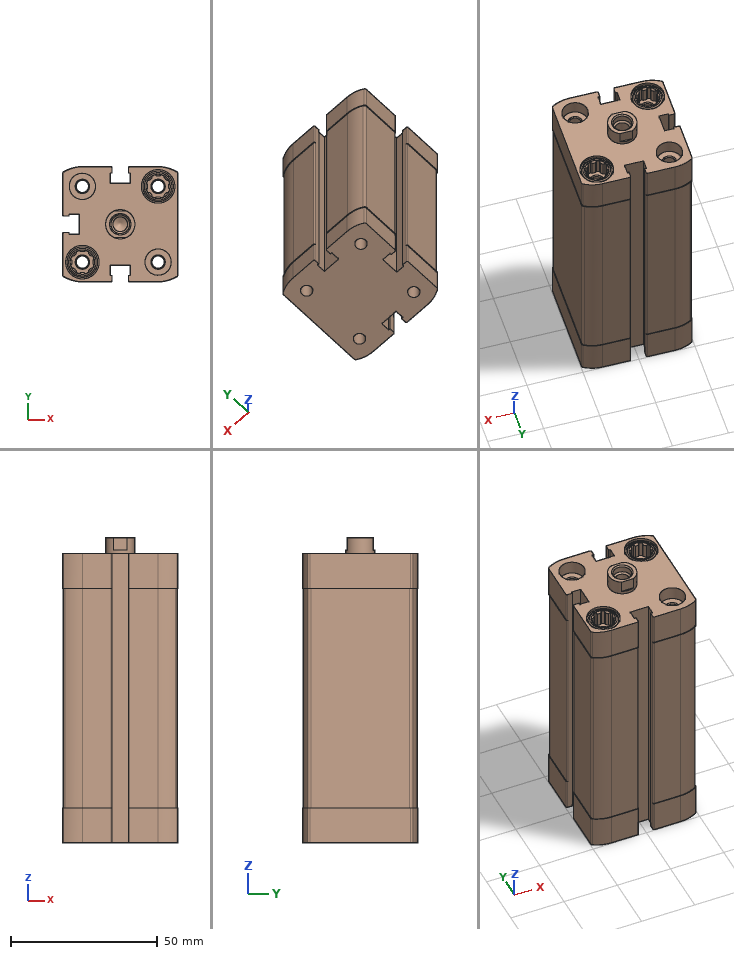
import cadquery as cq
import math

WIDTH = 39.5
TOTAL_HEIGHT = 104.5
ROD_PROTRUSION = 5.4
BODY_HEIGHT = TOTAL_HEIGHT - ROD_PROTRUSION
CAP_HEIGHT = 12.0
CAP_STEP = 0.2
TUBE_HEIGHT = BODY_HEIGHT - 2 * CAP_HEIGHT

FLANK_RADIUS = 25.0 / 2
FLANK_CENTRE_X = 13.0
CAP_EDGE_FILLET = 0.8
TUBE_EDGE_FILLET = 1.3

SLOT_MOUTH_WIDTH = 5.5
SLOT_INNER_WIDTH = 6.8
SLOT_LIP = 2.3
SLOT_DEPTH = 5.6
SLOT_MOUTH_FILLET = 0.4
SLOT_DIRECTIONS = (90, 180, 270)

HOLE_OFFSET = FLANK_CENTRE_X
THROUGH_DIAMETER = 4.2
THROUGH_ENTRY_DIAMETER = 4.9
COUNTERBORE_DIAMETER = 9.0
COUNTERBORE_DEPTH = 5.0
COUNTERBORE_CORNERS = ((-1, 1), (1, -1))
SOCKET_CORNERS = ((-1, -1), (1, 1))

HEAD_RECESS_DIAMETER = 11.5
HEAD_RECESS_DEPTH = 0.9
HEAD_DIAMETER = 10.5
HEAD_TOP_DIAMETER = 9.4
HEAD_TOP_DEPTH = 0.4
SOCKET_MOUTH_DIAMETER = 8.4
SOCKET_ROOT_DIAMETER = 8.2
SOCKET_TIP_DIAMETER = 7.1
SOCKET_TOOTH_COUNT = 8
SOCKET_TIP_WIDTH = 1.1
SOCKET_TOOTH_BASE_WIDTH = 2.4
SOCKET_DEPTH = 6.3

ROD_DIAMETER = 10.0
ROD_FLATS = 9.0
ROD_FLAT_LENGTH = 4.3
ROD_SEAT_DEPTH = CAP_HEIGHT
ROD_LENGTH = ROD_PROTRUSION + ROD_SEAT_DEPTH
ROD_MOUTH_DIAMETER = 7.3
ROD_RECESS_DIAMETER = 6.4
ROD_RECESS_DEPTH = 2.7
ROD_LEDGE_DROP = 0.5
ROD_BORE_DIAMETER = 5.0
ROD_BORE_DEPTH = 10.0
DRILL_POINT_ANGLE = 118
DRILL_TIP_DROP = ROD_BORE_DIAMETER / 2 / math.tan(math.radians(DRILL_POINT_ANGLE / 2))


def body_section(inset, edge_fillet, bottom, height):
    """Prism of the square section with rounded flanks, shrunk by inset."""
    half = WIDTH / 2 - inset
    radius = FLANK_RADIUS - inset
    flank_centre_y = WIDTH / 2 - FLANK_RADIUS

    def flank_y(x):
        return flank_centre_y + math.sqrt(radius**2 - (x - FLANK_CENTRE_X) ** 2)

    corner_y = flank_y(half)
    middle_x = (FLANK_CENTRE_X + half) / 2
    middle_y = flank_y(middle_x)
    return (
        cq.Workplane("XY", origin=(0, 0, bottom))
        .moveTo(-FLANK_CENTRE_X, half)
        .lineTo(FLANK_CENTRE_X, half)
        .threePointArc((middle_x, middle_y), (half, corner_y))
        .lineTo(half, -corner_y)
        .threePointArc((middle_x, -middle_y), (FLANK_CENTRE_X, -half))
        .lineTo(-FLANK_CENTRE_X, -half)
        .threePointArc((-middle_x, -middle_y), (-half, -corner_y))
        .lineTo(-half, corner_y)
        .threePointArc((-middle_x, middle_y), (-FLANK_CENTRE_X, half))
        .close()
        .extrude(height)
        .edges("|Z and (<X or >X)")
        .fillet(edge_fillet)
    )


def slot_cutter(inset, bottom, height, direction):
    """Undercut slot with rounded mouth edges, opening toward the given angle."""
    face = WIDTH / 2 - inset
    floor = WIDTH / 2 - SLOT_DEPTH
    lip_end = WIDTH / 2 - SLOT_LIP
    mouth = SLOT_MOUTH_WIDTH / 2
    inner = SLOT_INNER_WIDTH / 2
    flare = mouth + SLOT_MOUTH_FILLET
    arc_start = face - SLOT_MOUTH_FILLET
    arc_offset = SLOT_MOUTH_FILLET * (1 - math.sqrt(0.5))
    arc_middle = (face - arc_offset, mouth + arc_offset)
    return (
        cq.Workplane("XY", origin=(0, 0, bottom))
        .moveTo(floor, -inner)
        .lineTo(lip_end, -inner)
        .lineTo(lip_end, -mouth)
        .lineTo(arc_start, -mouth)
        .threePointArc((arc_middle[0], -arc_middle[1]), (face, -flare))
        .lineTo(face, flare)
        .threePointArc(arc_middle, (arc_start, mouth))
        .lineTo(lip_end, mouth)
        .lineTo(lip_end, inner)
        .lineTo(floor, inner)
        .close()
        .extrude(height)
        .rotate((0, 0, 0), (0, 0, 1), direction)
    )


def slotted_length(inset, edge_fillet, bottom, height):
    """One stretch of the housing, cap or tube, with its slots."""
    section = body_section(inset, edge_fillet, bottom, height)
    for direction in SLOT_DIRECTIONS:
        section = section.cut(slot_cutter(inset, bottom, height, direction))
    return section


def turned(points):
    """Solid of revolution about Z from (radius, height) points."""
    return cq.Workplane("XZ").polyline(points).close().revolve(360, (0, 0, 0), (0, 1, 0))


def through_hole(floor_z):
    """Through hole with a chamfered entry at floor_z."""
    radius = THROUGH_DIAMETER / 2
    entry = THROUGH_ENTRY_DIAMETER / 2
    chamfer_end = floor_z - (entry - radius)
    return turned([(0, 0), (radius, 0), (radius, chamfer_end), (entry, floor_z), (0, floor_z)])


def counterbored_hole():
    """Counterbore with the through hole below."""
    floor_z = BODY_HEIGHT - COUNTERBORE_DEPTH
    bore = (
        cq.Workplane("XY", origin=(0, 0, floor_z))
        .circle(COUNTERBORE_DIAMETER / 2)
        .extrude(COUNTERBORE_DEPTH)
    )
    return bore.union(through_hole(floor_z))


def socket_tooth(floor_z):
    """Tapered tooth pointing at the axis from +X, based on the socket wall."""
    tip = SOCKET_TIP_DIAMETER / 2
    root = SOCKET_ROOT_DIAMETER / 2
    return (
        cq.Workplane("XY", origin=(0, 0, floor_z))
        .moveTo(tip, -SOCKET_TIP_WIDTH / 2)
        .lineTo(root, -SOCKET_TOOTH_BASE_WIDTH / 2)
        .lineTo(root, SOCKET_TOOTH_BASE_WIDTH / 2)
        .lineTo(tip, SOCKET_TIP_WIDTH / 2)
        .close()
        .extrude(SOCKET_DEPTH)
    )


def socket_hole():
    """Space around and inside a sunk screw head, with the through hole below."""
    floor_z = BODY_HEIGHT - SOCKET_DEPTH
    head_top_z = BODY_HEIGHT - HEAD_TOP_DEPTH
    recess_z = BODY_HEIGHT - HEAD_RECESS_DEPTH
    tip = SOCKET_TIP_DIAMETER / 2
    mouth = SOCKET_MOUTH_DIAMETER / 2
    mouth_end_z = head_top_z - (mouth - tip)
    bore = (
        cq.Workplane("XY", origin=(0, 0, floor_z))
        .circle(SOCKET_ROOT_DIAMETER / 2)
        .extrude(SOCKET_DEPTH)
    )
    tooth = socket_tooth(floor_z)
    pitch_angle = 360 / SOCKET_TOOTH_COUNT
    for index in range(SOCKET_TOOTH_COUNT):
        bore = bore.cut(tooth.rotate((0, 0, 0), (0, 0, 1), index * pitch_angle))
    surround = turned([
        (0, mouth_end_z),
        (tip, mouth_end_z),
        (mouth, head_top_z),
        (HEAD_TOP_DIAMETER / 2, head_top_z),
        (HEAD_DIAMETER / 2, recess_z),
        (HEAD_RECESS_DIAMETER / 2, recess_z),
        (HEAD_RECESS_DIAMETER / 2, BODY_HEIGHT),
        (0, BODY_HEIGHT),
    ])
    return bore.union(surround).union(through_hole(floor_z))


def make_housing():
    """Tube between two end caps, with the corner holes and the seat of the rod."""
    housing = slotted_length(0, CAP_EDGE_FILLET, 0, CAP_HEIGHT)
    housing = housing.union(slotted_length(CAP_STEP, TUBE_EDGE_FILLET, CAP_HEIGHT, TUBE_HEIGHT))
    housing = housing.union(slotted_length(0, CAP_EDGE_FILLET, CAP_HEIGHT + TUBE_HEIGHT, CAP_HEIGHT))
    for corners, cutter in (
        (COUNTERBORE_CORNERS, counterbored_hole()),
        (SOCKET_CORNERS, socket_hole()),
    ):
        for x_sign, y_sign in corners:
            housing = housing.cut(cutter.translate((x_sign * HOLE_OFFSET, y_sign * HOLE_OFFSET, 0)))
    rod_seat = (
        cq.Workplane("XY", origin=(0, 0, BODY_HEIGHT - ROD_SEAT_DEPTH))
        .circle(ROD_DIAMETER / 2)
        .extrude(ROD_SEAT_DEPTH)
    )
    return housing.cut(rod_seat)


def make_rod():
    """Rod with two wrench flats and a stepped blind bore at its free end."""
    rod = (
        cq.Workplane("XY", origin=(0, 0, TOTAL_HEIGHT - ROD_LENGTH))
        .circle(ROD_DIAMETER / 2)
        .extrude(ROD_LENGTH)
    )
    blank_width = 2 * ROD_DIAMETER
    flats = (
        cq.Workplane("XY", origin=(0, 0, TOTAL_HEIGHT - ROD_FLAT_LENGTH))
        .rect(blank_width, blank_width)
        .rect(blank_width, ROD_FLATS)
        .extrude(ROD_FLAT_LENGTH)
    )
    mouth = ROD_MOUTH_DIAMETER / 2
    recess = ROD_RECESS_DIAMETER / 2
    bore = ROD_BORE_DIAMETER / 2
    recess_z = TOTAL_HEIGHT - ROD_RECESS_DEPTH
    bore_z = TOTAL_HEIGHT - ROD_BORE_DEPTH
    stepped_bore = turned([
        (0, bore_z - DRILL_TIP_DROP),
        (bore, bore_z),
        (bore, recess_z - ROD_LEDGE_DROP),
        (recess, recess_z),
        (recess, TOTAL_HEIGHT - (mouth - recess)),
        (mouth, TOTAL_HEIGHT),
        (0, TOTAL_HEIGHT),
    ])
    return rod.cut(flats).cut(stepped_bore)


housing = make_housing()
rod = make_rod()

result = cq.Compound.makeCompound([housing.val(), rod.val()])